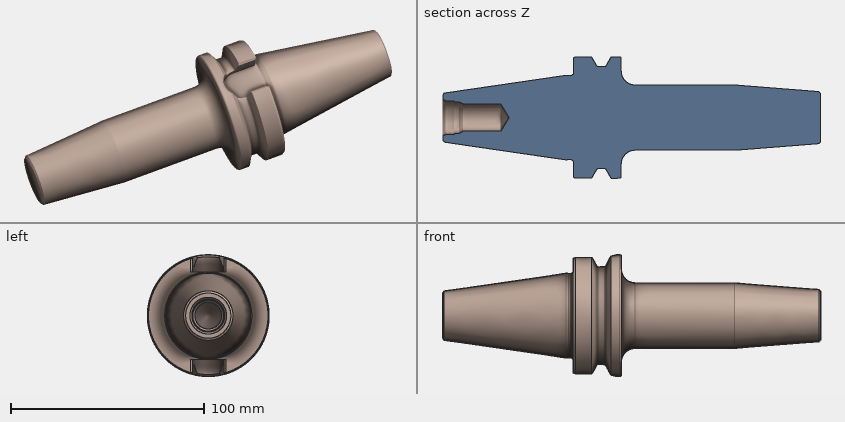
import cadquery as cq
import math


gauge_radius = 44.45 / 2
taper_length = 65.4
taper_slope = 7 / 24 / 2
taper_chamfer_length = 0.7
taper_chamfer_depth = 1.0

relief_start = -1.7
relief_floor_start = -0.5
relief_floor_end = 1.0
relief_floor_radius = 21.9
relief_outer_radius = 22.55

flange_start = 2.0
flange_end = 27.0
flange_radius = 31.5
rim_chamfer_length = 1.1
rim_chamfer_depth = 0.6
rim_fillet = 1.0

groove_center = 16.6
groove_width = 10.0
groove_floor_radius = 26.5
groove_fillet = 0.7
groove_overrun = 1.0
groove_flank_angle = 30.0

slot_width = 16.1
slot_end = 23.3
slot_floor_height = 22.6
slot_chamfer = 1.1
slot_mouth_overrun = 1.0

nose_end = 130.0
shank_radius = 17.0
shank_fillet = 7.0
nose_end_radius = 13.5
nose_angle = 4.5
nose_chamfer = 1.0

lead_in_radius = 9.5
lead_in_depth = 1.6
counterbore_radius = 8.5
counterbore_depth = 6.0
thread_radius = 8.0
thread_depth = 8.6
core_radius = 6.9
core_start = 10.5
core_depth = 30.0
drill_point_angle = 118.0

tolerance = 0.01


def taper_radius(x):
    """Radius of the 7/24 taper at position x."""
    return gauge_radius + x * taper_slope


def arc_mid_offset(radius):
    """Distance, along each axis, from the two tangent lines of a quarter arc to its midpoint."""
    return radius * (1 - math.sqrt(0.5))


def revolve_profile(profile):
    """Turn a closed profile, drawn as (x, radius), about the X axis."""
    return profile.close().revolve(360, (0, 0, 0), (1, 0, 0))


def make_taper():
    end_radius = taper_radius(-taper_length)
    chamfer_end = -taper_length + taper_chamfer_length
    return revolve_profile(
        cq.Workplane("XY")
        .moveTo(-taper_length, 0)
        .lineTo(-taper_length, end_radius - taper_chamfer_depth)
        .lineTo(chamfer_end, taper_radius(chamfer_end))
        .lineTo(relief_start, taper_radius(relief_start))
        .lineTo(relief_floor_start, relief_floor_radius)
        .lineTo(relief_floor_end, relief_floor_radius)
        .lineTo(flange_start, relief_outer_radius)
        .lineTo(flange_start, 0)
    )


def make_slot(side):
    """Round-ended slot cutter, open at the taper side; side is +1 or -1 along Z."""
    half_width = slot_width / 2
    arc_center = slot_end - half_width
    return (
        cq.Workplane("XY", origin=(0, 0, side * slot_floor_height))
        .moveTo(flange_start - slot_mouth_overrun, -half_width)
        .lineTo(arc_center, -half_width)
        .threePointArc((slot_end, 0), (arc_center, half_width))
        .lineTo(flange_start - slot_mouth_overrun, half_width)
        .close()
        .extrude(side * flange_radius)
    )


def make_groove():
    """Ring cutter with sloped flanks and rounded floor corners."""
    half_top = groove_width / 2
    depth = flange_radius - groove_floor_radius
    half_floor = half_top - depth * math.tan(math.radians(groove_flank_angle))
    groove = revolve_profile(
        cq.Workplane("XY")
        .moveTo(groove_center - half_floor, groove_floor_radius)
        .lineTo(groove_center - half_top, flange_radius)
        .lineTo(groove_center - half_top, flange_radius + groove_overrun)
        .lineTo(groove_center + half_top, flange_radius + groove_overrun)
        .lineTo(groove_center + half_top, flange_radius)
        .lineTo(groove_center + half_floor, groove_floor_radius)
    )
    floor_edges = cq.selectors.RadiusNthSelector(0)
    return groove.edges(floor_edges).fillet(groove_fillet)


def is_slot_rim(edge):
    """True for the outer edges of the slot walls: along the rim, and up the taper-side face."""
    box = edge.BoundingBox()
    inside_slot = box.xmax < slot_end + tolerance and box.ylen < slot_width + tolerance
    lowest_height = min(abs(edge.startPoint().z), abs(edge.endPoint().z))
    on_rim = lowest_height > slot_floor_height + tolerance
    rises_from_floor = box.zlen > tolerance and abs(lowest_height - slot_floor_height) < tolerance
    on_face = box.xmax < flange_start + tolerance and rises_from_floor
    return inside_slot and (on_rim or on_face)


def make_flange():
    fillet_mid_offset = arc_mid_offset(rim_fillet)
    flange = revolve_profile(
        cq.Workplane("XY")
        .moveTo(flange_start, 0)
        .lineTo(flange_start, flange_radius - rim_chamfer_depth)
        .lineTo(flange_start + rim_chamfer_length, flange_radius)
        .lineTo(flange_end - rim_fillet, flange_radius)
        .threePointArc(
            (flange_end - fillet_mid_offset, flange_radius - fillet_mid_offset),
            (flange_end, flange_radius - rim_fillet),
        )
        .lineTo(flange_end, 0)
    )
    for side in (1, -1):
        flange = flange.cut(make_slot(side))
    rim_edges = [e for e in flange.edges().vals() if is_slot_rim(e)]
    return flange.newObject(rim_edges).chamfer(slot_chamfer).cut(make_groove())


def make_shank():
    slope = math.tan(math.radians(nose_angle))
    nose_start = nose_end - (shank_radius - nose_end_radius) / slope
    fillet_end = flange_end + shank_fillet
    fillet_mid_offset = arc_mid_offset(shank_fillet)
    return revolve_profile(
        cq.Workplane("XY")
        .moveTo(flange_end, 0)
        .lineTo(flange_end, shank_radius + shank_fillet)
        .threePointArc(
            (flange_end + fillet_mid_offset, shank_radius + fillet_mid_offset),
            (fillet_end, shank_radius),
        )
        .lineTo(nose_start, shank_radius)
        .lineTo(nose_end - nose_chamfer, nose_end_radius + nose_chamfer * slope)
        .lineTo(nose_end, nose_end_radius - nose_chamfer)
        .lineTo(nose_end, 0)
    )


def make_bore():
    point_length = core_radius / math.tan(math.radians(drill_point_angle / 2))
    return revolve_profile(
        cq.Workplane("XY", origin=(-taper_length, 0, 0))
        .moveTo(0, 0)
        .lineTo(0, lead_in_radius)
        .lineTo(lead_in_depth, counterbore_radius)
        .lineTo(counterbore_depth, counterbore_radius)
        .lineTo(counterbore_depth, thread_radius)
        .lineTo(thread_depth, thread_radius)
        .lineTo(core_start, core_radius)
        .lineTo(core_depth, core_radius)
        .lineTo(core_depth + point_length, 0)
    )


result = make_taper().union(make_flange()).union(make_shank()).cut(make_bore())